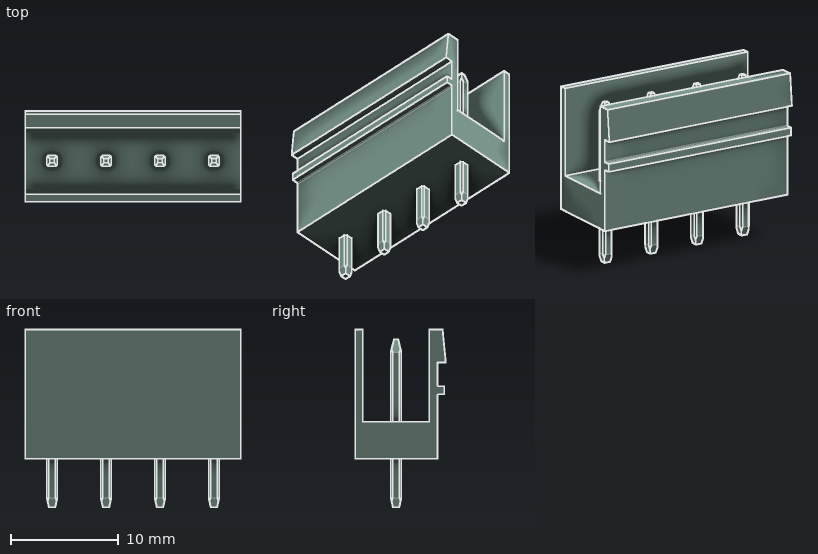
import cadquery as cq

housing_length = 20.0
housing_height = 12.0
housing_depth = 7.65
floor_thickness = 3.45
front_wall_thickness = 0.72
rear_wall_thickness = 0.78

nose_bottom_z = 8.92
nose_overhang_top = 0.48
nose_overhang_bottom = 0.78

rib_bottom_z = 5.98
rib_thickness = 0.75
rib_overhang = 0.65
rib_root_radius = 0.1

pin_count = 4
pin_pitch = 5.0
pin_width = 1.0
pin_corner_diameter = 1.18
pin_y = 3.8
pin_bottom_z = -4.5
pin_top_z = 11.1
lower_taper_length = 0.9
lower_tip_width = 0.6
upper_taper_length = 1.22
upper_tip_width = 0.4

pin_x_positions = [(i - (pin_count - 1) / 2) * pin_pitch for i in range(pin_count)]
pin_centres = [(x, pin_y) for x in pin_x_positions]


def make_walls_and_floor():
    """U-shaped channel with the latch nose on its rear wall."""
    rear_wall_inner_y = housing_depth - rear_wall_thickness
    return (
        cq.Workplane("YZ")
        .moveTo(0, 0)
        .lineTo(housing_depth, 0)
        .lineTo(housing_depth, nose_bottom_z)
        .lineTo(housing_depth + nose_overhang_bottom, nose_bottom_z)
        .lineTo(housing_depth + nose_overhang_top, housing_height)
        .lineTo(rear_wall_inner_y, housing_height)
        .lineTo(rear_wall_inner_y, floor_thickness)
        .lineTo(front_wall_thickness, floor_thickness)
        .lineTo(front_wall_thickness, housing_height)
        .lineTo(0, housing_height)
        .close()
        .extrude(housing_length / 2, both=True)
    )


def make_rib():
    """Rib with a concave fillet above and below its root on the rear wall."""
    rib_top_z = rib_bottom_z + rib_thickness
    rib_end_y = housing_depth + rib_overhang
    root_y = housing_depth + rib_root_radius
    return (
        cq.Workplane("YZ")
        .moveTo(housing_depth, rib_bottom_z - rib_root_radius)
        .radiusArc((root_y, rib_bottom_z), rib_root_radius)
        .lineTo(rib_end_y, rib_bottom_z)
        .lineTo(rib_end_y, rib_top_z)
        .lineTo(root_y, rib_top_z)
        .radiusArc((housing_depth, rib_top_z + rib_root_radius), rib_root_radius)
        .close()
        .extrude(housing_length / 2, both=True)
    )


def make_pin_bar(bottom_z, top_z):
    """Square bar with its corners rounded off by a cylinder, centred on the Z axis."""
    base = cq.Workplane("XY", origin=(0, 0, bottom_z))
    length = top_z - bottom_z
    square_bar = base.rect(pin_width, pin_width).extrude(length)
    round_bar = base.circle(pin_corner_diameter / 2).extrude(length)
    return square_bar.intersect(round_bar)


def make_taper(base_z, tip_z, tip_width):
    """Square frustum from the full pin width down to the tip."""
    return (
        cq.Workplane("XY", origin=(0, 0, base_z))
        .rect(pin_width, pin_width)
        .workplane(offset=tip_z - base_z)
        .rect(tip_width, tip_width)
        .loft(ruled=True)
    )


def make_pin():
    """Rounded bar trimmed to a square taper at both ends, centred on the Z axis."""
    shank_bottom_z = pin_bottom_z + lower_taper_length
    shank_top_z = pin_top_z - upper_taper_length
    envelope = (
        cq.Workplane("XY", origin=(0, 0, shank_bottom_z))
        .rect(pin_width, pin_width)
        .extrude(shank_top_z - shank_bottom_z)
        .union(make_taper(shank_bottom_z, pin_bottom_z, lower_tip_width))
        .union(make_taper(shank_top_z, pin_top_z, upper_tip_width))
    )
    return make_pin_bar(pin_bottom_z, pin_top_z).intersect(envelope)


def make_housing():
    """Housing with a matching through hole in the floor for each pin."""
    housing = make_walls_and_floor().union(make_rib())
    for x, y in pin_centres:
        housing = housing.cut(make_pin_bar(0, floor_thickness).translate((x, y, 0)))
    return housing


housing = make_housing()
pins = [make_pin().translate((x, y, 0)) for x, y in pin_centres]

result = cq.Compound.makeCompound([housing.val(), *[pin.val() for pin in pins]])